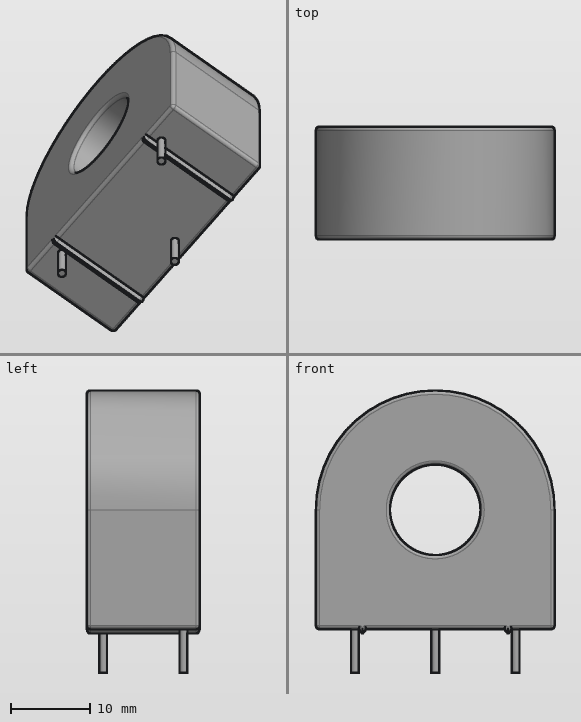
import cadquery as cq

body_width = 30.2
body_depth = 14.3
edge_radius = 0.5

bore_diameter = 11.4

ridge_offset = 9.2
ridge_height = 0.55
ridge_width = 1.0

pin_diameter = 1.02
pin_length = 5.5
pin_embed = 1.0
pin_pitch_x = 10.16
pin_row_y = 5.08

crown_radius = body_width / 2
bore_height = crown_radius
ridge_half_width = ridge_width / 2

pin_positions = [
    (-pin_pitch_x, -pin_row_y),
    (0, pin_row_y),
    (pin_pitch_x, -pin_row_y),
]


def make_body():
    """Arch-shaped block with two V ridges along Y under its seating face and all rims rounded."""
    outline = cq.Workplane("XZ").moveTo(-crown_radius, 0)
    for ridge_x in (-ridge_offset, ridge_offset):
        outline = (
            outline.lineTo(ridge_x - ridge_half_width, 0)
            .lineTo(ridge_x, -ridge_height)
            .lineTo(ridge_x + ridge_half_width, 0)
        )
    outline = (
        outline.lineTo(crown_radius, 0)
        .lineTo(crown_radius, bore_height)
        .threePointArc((0, bore_height + crown_radius), (-crown_radius, bore_height))
        .close()
    )
    block = outline.extrude(body_depth / 2, both=True)
    bore = (
        cq.Workplane("XZ")
        .center(0, bore_height)
        .circle(bore_diameter / 2)
        .extrude(body_depth / 2, both=True)
    )
    block = block.cut(bore)
    block = block.edges("|Y").edges("<X or >X").edges("<Z").fillet(edge_radius)
    return block.faces("<Y or >Y").edges().fillet(edge_radius)


def make_pins():
    """Round solder pins, rooted inside the body and standing below the seating face."""
    return (
        cq.Workplane("XY", origin=(0, 0, -pin_length))
        .pushPoints(pin_positions)
        .circle(pin_diameter / 2)
        .extrude(pin_length + pin_embed)
    )


result = make_body().union(make_pins())